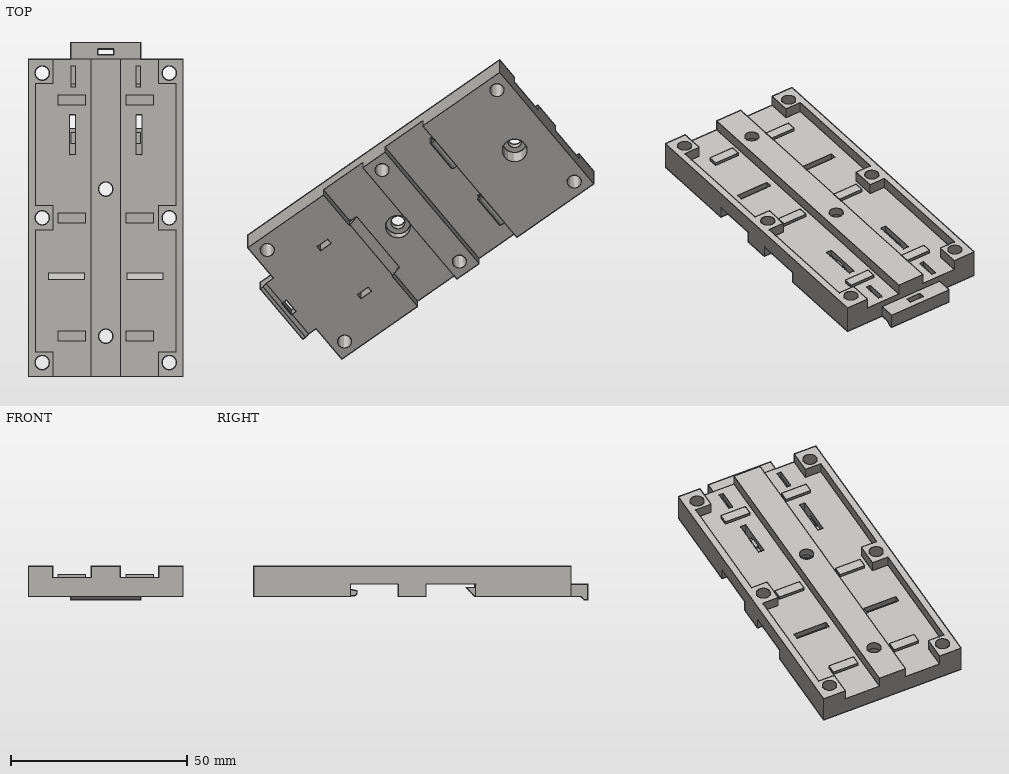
import cadquery as cq


total_length = 94.95
base_width = 44.0
base_length = 90.2
base_bottom = 0.95
base_top = 9.6
floor_z = 6.4
middle_y = base_length / 2

sides = (-1, 1)
rows = (-1, 0, 1)

rim_width = 2.0
boss_size = 6.9
rib_width = 8.4
hole_diameter = 4.0
hole_x = 18.0
hole_row_spacing = 41.1
rib_hole_ys = (11.5, 53.3)
head_diameter = 7.0
head_seat_z = 7.2
pad_width = 7.9
pad_length = 2.85
pad_height = 0.9
pad_x = 9.7
pad_row_spacing = 33.5

channel_roof = 4.5
rail_start_y = 27.5
rail_end_y = 63.0
bar_start_y = 41.0
bar_end_y = 49.0

hook_inner_x = 6.1
hook_outer_x = 16.2
hook_reach = 1.9
hook_bottom = 1.1
hook_tip_z = 2.6
hook_root_z = 3.0
hook_nose_radius = 2.0 / 2
hook_tip_y = rail_start_y + hook_reach
hook_slot_start_y = 27.6

slider_width = 19.9
slider_front_y = 62.8
jaw_reach = 2.4
jaw_top = 3.5
lip_tip_length = 1.0
lip_run = 1.0
window_width = 4.5
window_start_y = 91.4
window_end_y = 93.1

slot_inner_x = 8.6
guide_outer_x = 10.3
guide_end_y = 74.3
opening_start_y = 70.55
stop_outer_x = 9.9
latch_start_y = 82.3
latch_end_y = 88.3
stop_height = 0.5
guide_stop_ys = (66.3, 69.4)
latch_stop_ys = (latch_start_y, 83.2)


def block(x0, x1, y0, y1, z0, z1):
    """Box between two opposite corners."""
    return cq.Workplane("XY").box(x1 - x0, y1 - y0, z1 - z0, centered=False).translate((x0, y0, z0))


def centred_block(width, y0, y1, z0, z1):
    """Box centred across the part."""
    return block(-width / 2, width / 2, y0, y1, z0, z1)


def both_sides(shape):
    """The shape together with its mirror image across the YZ plane."""
    return shape.union(shape.mirror("YZ"))


def grid_points(x, row_spacing):
    """Three rows about the middle of the base, one point on each side per row."""
    return [(side * x, middle_y + row * row_spacing) for side in sides for row in rows]


def make_base():
    base = centred_block(base_width, 0, base_length, base_bottom, base_top)
    tray = block(rib_width / 2, base_width / 2 - rim_width, 0, base_length, floor_z, base_top)
    boss_x = base_width / 2 - boss_size
    for row in rows:
        boss_y = middle_y + row * (base_length - boss_size) / 2
        boss = block(
            boss_x, base_width / 2, boss_y - boss_size / 2, boss_y + boss_size / 2, floor_z, base_top
        )
        tray = tray.cut(boss)
    base = base.cut(both_sides(tray))
    for y0, y1 in ((rail_start_y, bar_start_y), (bar_end_y, rail_end_y)):
        base = base.cut(centred_block(base_width, y0, y1, base_bottom, channel_roof))
    return base


def make_pads():
    pads = cq.Workplane("XY").workplane(offset=floor_z)
    points = grid_points(pad_x, pad_row_spacing)
    return pads.pushPoints(points).rect(pad_width, pad_length).extrude(pad_height)


def make_holes():
    """Through holes; those in the rib are counterbored from below for screw heads."""
    rib_points = [(0, y) for y in rib_hole_ys]
    points = grid_points(hole_x, hole_row_spacing) + rib_points
    holes = cq.Workplane("XY").pushPoints(points).circle(hole_diameter / 2).extrude(base_top)
    heads = cq.Workplane("XY").pushPoints(rib_points).circle(head_diameter / 2).extrude(head_seat_z)
    return holes.union(heads)


def make_hooks():
    hook = (
        cq.Workplane("YZ", origin=(hook_inner_x, 0, 0))
        .moveTo(rail_start_y, hook_bottom)
        .lineTo(hook_tip_y - hook_nose_radius, hook_bottom)
        .radiusArc((hook_tip_y, hook_bottom + hook_nose_radius), -hook_nose_radius)
        .lineTo(hook_tip_y, hook_tip_z)
        .lineTo(rail_start_y, hook_root_z)
        .close()
        .extrude(hook_outer_x - hook_inner_x)
    )
    return both_sides(hook)


def make_hook_slots():
    return both_sides(
        block(hook_inner_x, hook_outer_x, hook_slot_start_y, hook_tip_y, hook_root_z, floor_z)
    )


def make_slider():
    slider = centred_block(slider_width, slider_front_y, total_length, base_bottom, channel_roof)
    slider = slider.cut(
        centred_block(window_width, window_start_y, window_end_y, base_bottom, channel_roof)
    )
    jaw = [
        (slider_front_y, base_bottom),
        (slider_front_y - jaw_reach, jaw_top),
        (slider_front_y, jaw_top),
    ]
    lip_tip_y = total_length - lip_tip_length
    lip = [
        (total_length, base_bottom),
        (total_length, 0),
        (lip_tip_y, 0),
        (lip_tip_y - lip_run, base_bottom),
    ]
    for profile in (jaw, lip):
        side = cq.Workplane("YZ").polyline(profile).close()
        slider = slider.union(side.extrude(slider_width / 2, both=True))
    return slider


def make_slider_slots():
    guide = block(slot_inner_x, guide_outer_x, rail_end_y, guide_end_y, channel_roof, floor_z)
    opening = block(slot_inner_x, guide_outer_x, opening_start_y, guide_end_y, base_bottom, floor_z)
    latch = block(slot_inner_x, stop_outer_x, latch_start_y, latch_end_y, channel_roof, floor_z)
    slots = guide.union(opening).union(latch)
    for y0, y1 in (guide_stop_ys, latch_stop_ys):
        stop = block(slot_inner_x, stop_outer_x, y0, y1, channel_roof, channel_roof + stop_height)
        slots = slots.cut(stop)
    return both_sides(slots)


result = (
    make_base()
    .union(make_pads())
    .union(make_slider())
    .cut(make_hook_slots())
    .union(make_hooks())
    .cut(make_slider_slots())
    .cut(make_holes())
)